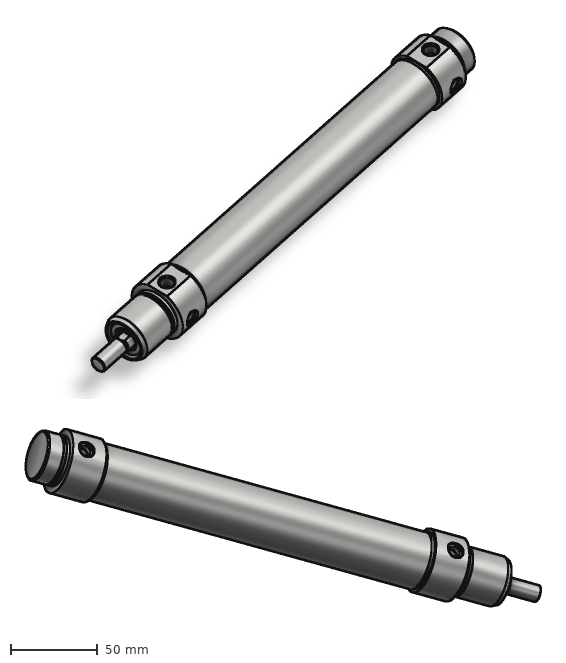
import cadquery as cq
import math

TOTAL_LENGTH = 324.0
BARREL_DIAMETER = 34.3

HEAD_DIAMETER = 38.2
HEAD_LENGTH = 21.5
HEAD_FLAT_WIDTH = 14.5
COLLAR_LENGTH = 2.0

NOSE_DIAMETER = 30.0
FRONT_NOSE_LENGTH = 30.0
FRONT_CHAMFER_LENGTH = 3.0
FRONT_CHAMFER_HEIGHT = 1.3
REAR_NOSE_LENGTH = 14.0
REAR_CHAMFER = 1.0
GROOVE_DIAMETER = 28.8
GROOVE_WIDTH = 2.0
FRONT_GROOVE_SETBACK = 2.5
REAR_GROOVE_SETBACK = 2.0

PORT_OFFSET = 8.7
PORT_MOUTH_DIAMETER = 10.0
PORT_DIAMETER = 8.0
PORT_DEPTH = 7.8
REAR_PORT_CONE_DEPTH = 2.3
BLEED_DIAMETER = 3.0

SIDE_COUNTERBORE_DIAMETER = 10.0
SIDE_COUNTERBORE_DEPTH = 2.0
SIDE_HOLE_DIAMETER = 6.8
SIDE_HOLE_DEPTH = 5.8

FRONT_CAP_RISE = 0.8
SINK_MOUTH_DIAMETER = 25.0
SINK_FLOOR_DIAMETER = 22.0
SINK_DEPTH = 1.5
SEAL_MOUTH_DIAMETER = 15.5
SEAL_BORE_DIAMETER = 13.5
SEAL_CONE_DEPTH = 1.5
SEAL_DEPTH = 3.2

ROD_DIAMETER = 11.3
ROD_EXPOSED_LENGTH = 23.5
SPIGOT_DIAMETER = 10.0
SPIGOT_LENGTH = 19.8
SPIGOT_TIP_CHAMFER = 0.5
SHOULDER_LENGTH = 1.3
WRENCH_FLAT_LENGTH = 6.5

nose_front = ROD_EXPOSED_LENGTH
front_head = nose_front + FRONT_NOSE_LENGTH
barrel_front = front_head + HEAD_LENGTH + COLLAR_LENGTH
rear_head = TOTAL_LENGTH - REAR_NOSE_LENGTH
barrel_rear = rear_head - HEAD_LENGTH - COLLAR_LENGTH

head_radius = HEAD_DIAMETER / 2
flat_height = math.sqrt(head_radius**2 - (HEAD_FLAT_WIDTH / 2) ** 2)


def revolve_about_y(points):
    """Solid of revolution about Y from (radius, Y) points."""
    return cq.Workplane("XY").polyline(points).close().revolve(360, (0, 0, 0), (0, 1, 0))


def cylinder(diameter, start, end):
    """Cylinder on the Y axis between two stations."""
    return cq.Workplane("XZ", origin=(0, start, 0)).circle(diameter / 2).extrude(start - end)


def port_cutter(cone_depth):
    """Port with a 45 degree mouth, sunk into the head flat; a cone depth of 0 leaves a flat floor."""
    mouth = PORT_MOUTH_DIAMETER / 2
    bore = PORT_DIAMETER / 2
    profile = [
        (0, 0),
        (mouth, 0),
        (bore, bore - mouth),
        (bore, -PORT_DEPTH),
        (0, -PORT_DEPTH - cone_depth),
    ]
    port = cq.Workplane("XZ").polyline(profile).close().revolve(360, (0, 0, 0), (0, 1, 0))
    return port.translate((0, PORT_OFFSET, flat_height))


def side_hole_cutter(side):
    """Counterbored hole entering the head from +X (side 1) or -X (side -1)."""
    entry = cq.Workplane("YZ", origin=(side * head_radius, PORT_OFFSET, 0))
    counterbore = entry.circle(SIDE_COUNTERBORE_DIAMETER / 2).extrude(-side * SIDE_COUNTERBORE_DEPTH)
    hole = entry.circle(SIDE_HOLE_DIAMETER / 2).extrude(-side * SIDE_HOLE_DEPTH)
    return counterbore.union(hole)


def end_cap(nose_length, chamfer_length, chamfer_height, groove_setback, port_cone_depth):
    """End cap with its head starting at Y = 0 and its nose reaching towards -Y."""
    nose = NOSE_DIAMETER / 2
    groove = GROOVE_DIAMETER / 2
    collar = BARREL_DIAMETER / 2
    groove_end = -groove_setback - GROOVE_WIDTH
    collar_end = HEAD_LENGTH + COLLAR_LENGTH
    body = revolve_about_y([
        (0, -nose_length),
        (nose - chamfer_height, -nose_length),
        (nose, chamfer_length - nose_length),
        (nose, groove_end),
        (groove, groove_end),
        (groove, -groove_setback),
        (nose, -groove_setback),
        (nose, 0),
        (head_radius, 0),
        (head_radius, HEAD_LENGTH),
        (collar, HEAD_LENGTH),
        (collar, collar_end),
        (0, collar_end),
    ])
    flat_plane = cq.Workplane("XY", origin=(0, HEAD_LENGTH / 2, flat_height))
    body = body.cut(flat_plane.rect(HEAD_DIAMETER, HEAD_LENGTH).extrude(head_radius))
    body = body.cut(port_cutter(port_cone_depth))
    for side in (-1, 1):
        body = body.cut(side_hole_cutter(side))
    return body


def front_recess():
    """Conical sink and stepped seal recess in the front face."""
    sink_floor = nose_front + SINK_DEPTH
    seal_floor = sink_floor + SEAL_DEPTH
    return revolve_about_y([
        (0, nose_front),
        (SINK_MOUTH_DIAMETER / 2, nose_front),
        (SINK_FLOOR_DIAMETER / 2, sink_floor),
        (SEAL_MOUTH_DIAMETER / 2, sink_floor),
        (SEAL_BORE_DIAMETER / 2, sink_floor + SEAL_CONE_DEPTH),
        (SEAL_BORE_DIAMETER / 2, seal_floor),
        (0, seal_floor),
    ])


def make_front_cap():
    """Front cap, raised off the barrel axis and bored through for the rod."""
    body = end_cap(FRONT_NOSE_LENGTH, FRONT_CHAMFER_LENGTH, FRONT_CHAMFER_HEIGHT, FRONT_GROOVE_SETBACK, 0)
    bleed = cq.Workplane("XY", origin=(0, PORT_OFFSET, 0)).circle(BLEED_DIAMETER / 2).extrude(flat_height)
    body = body.cut(bleed).translate((0, front_head, 0))
    body = body.cut(front_recess()).translate((0, 0, FRONT_CAP_RISE))
    return body.cut(cylinder(ROD_DIAMETER, nose_front, barrel_front))


def make_rear_cap():
    """Rear cap, turned so that its nose points to +Y."""
    body = end_cap(REAR_NOSE_LENGTH, REAR_CHAMFER, REAR_CHAMFER, REAR_GROOVE_SETBACK, REAR_PORT_CONE_DEPTH)
    return body.mirror("XZ").translate((0, rear_head, 0))


def make_barrel():
    """Plain round barrel between the two collars."""
    return cylinder(BARREL_DIAMETER, barrel_front, barrel_rear)


def make_rod():
    """Rod from its spigot tip to the front face of the barrel."""
    rod_radius = ROD_DIAMETER / 2
    spigot_radius = SPIGOT_DIAMETER / 2
    rod = revolve_about_y([
        (0, 0),
        (spigot_radius - SPIGOT_TIP_CHAMFER, 0),
        (spigot_radius, SPIGOT_TIP_CHAMFER),
        (spigot_radius, SPIGOT_LENGTH),
        (rod_radius, SPIGOT_LENGTH + SHOULDER_LENGTH),
        (rod_radius, barrel_front),
        (0, barrel_front),
    ])
    flat_plane = cq.Workplane("XY", origin=(0, SPIGOT_LENGTH + WRENCH_FLAT_LENGTH / 2, spigot_radius))
    upper_flat = flat_plane.rect(ROD_DIAMETER, WRENCH_FLAT_LENGTH).extrude(rod_radius)
    return rod.cut(upper_flat).cut(upper_flat.mirror("XY"))


front_cap = make_front_cap()
rear_cap = make_rear_cap()
barrel = make_barrel()
rod = make_rod()

bodies = [front_cap, rear_cap, barrel, rod]
result = cq.Compound.makeCompound([body.solids().val() for body in bodies])